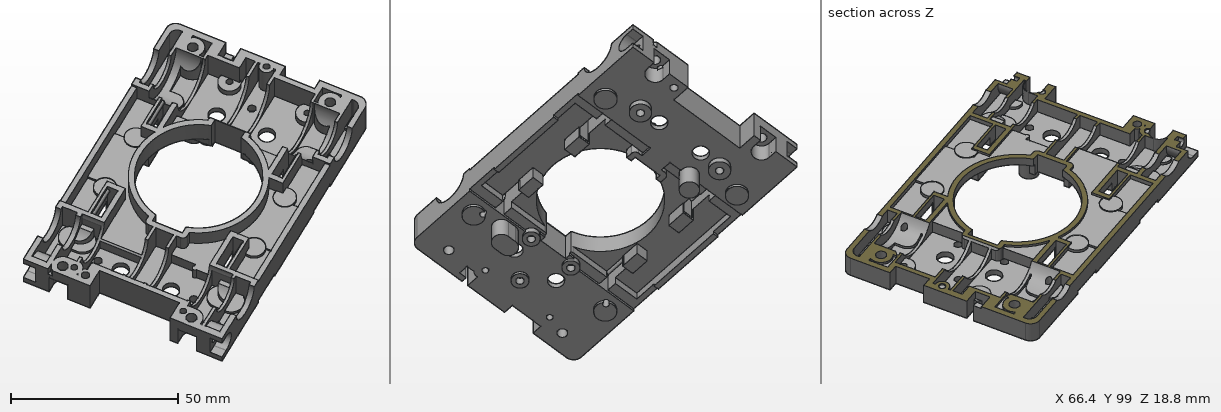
import cadquery as cq


WIDTH = 66.4
LENGTH = 99.0
HALF_WIDTH = WIDTH / 2
BACK_Y = 50.55
FRONT_Y = BACK_Y - LENGTH
TOP_Z = 11.3
LEG_LENGTH = 7.5
CORNER_RADIUS = 3.1
WALL = 1.8
SIDE_RIM_DROP = 0.7
SIDE_RIM_Z = TOP_Z - SIDE_RIM_DROP
DEEP_FLOOR_Z = 2.0
HIGH_FLOOR_Z = 6.0
PAD_TOP_Z = 2.9
PLATE_BOTTOM_Z = 4.0
INNER_HALF = HALF_WIDTH - WALL

SHAFT_Y = 32.85
SHAFT_RADIUS = 6.0
BACK_CLEARANCE_RADIUS = 9.3
FRONT_CLEARANCE_RADIUS = 7.3

BORE_Y = 2.45
BORE_RADIUS = 19.2
RING_WALL = 1.85
KEY_HALF_WIDTH = 5.0
KEY_REACH = 20.95
TAB_CORNER_RADIUS = 1.5

MID_END_Y = 24.1
CROSS_WALL = 1.7
BAY_HALF = 17.55
BAY_WALL = 0.95
CHAMBER_INNER_X = BAY_HALF + BAY_WALL
RIB_INNER_X = 2.95
RIB_THICKNESS = 1.0
RIB_OUTER_X = RIB_INNER_X + RIB_THICKNESS
BACK_BAY_START_Y = 23.15
FRONT_BAY_END_Y = -40.4
FRONT_RECESS_Y = -42.1
SIDES = (-1, 1)


def block(x0, x1, y0, y1, z0, z1):
    """Box between two corners; each pair may be given in either order."""
    size = (abs(x1 - x0), abs(y1 - y0), abs(z1 - z0))
    centre = ((x0 + x1) / 2, (y0 + y1) / 2, (z0 + z1) / 2)
    return cq.Workplane("XY").box(*size).translate(centre)


def post(x, y, radius, z0, z1):
    """Vertical cylinder."""
    return cq.Workplane("XY").workplane(offset=z0).center(x, y).circle(radius).extrude(z1 - z0)


def bar(x0, x1, y, z, radius):
    """Cylinder along X."""
    start = min(x0, x1)
    return cq.Workplane("YZ").workplane(offset=start).center(y, z).circle(radius).extrude(abs(x1 - x0))


def combined(shapes):
    """Several separate shapes gathered into one compound."""
    return cq.Workplane(cq.Compound.makeCompound([shape.val() for shape in shapes]))


FRONT_RECESS_LEFT_X = -10.9
FRONT_RECESS_RIGHT_X = 15.8
HOOK_NOTCH = (-14.85, -9.9, 45.4)
HOOK_LIP_X = -12.2
HOOK_LIP_Y = 48.7
WIDE_NOTCH = (5.0, 16.5, 47.1)
RELIEF_INNER_Y = 13.2
RELIEF_Z = 1.0
UNDERSIDE_HALF_Y = 20.8
LOW_FLOOR_Z = 5.3
LOW_FLOOR_INNER_X = 21.5
STEP_Y = 9.0
FLOOR_DISC = (24.9, 10.3)
FLOOR_DISC_RADIUS = 3.5
FLOOR_DISC_HEIGHT = 0.3
FLOOR_DISC_Z = HIGH_FLOOR_Z + FLOOR_DISC_HEIGHT


def blank():
    body = block(-HALF_WIDTH, HALF_WIDTH, FRONT_Y, BACK_Y, 0, TOP_Z)
    body = body.edges("|Z and >Y").fillet(CORNER_RADIUS)
    body = body.cut(block(FRONT_RECESS_LEFT_X, FRONT_RECESS_RIGHT_X, FRONT_Y, FRONT_RECESS_Y, 0, TOP_Z))
    for x0, x1, depth_y in (HOOK_NOTCH, WIDE_NOTCH):
        body = body.cut(block(x0, x1, depth_y, BACK_Y, 0, TOP_Z))
    return body.union(block(HOOK_NOTCH[0], HOOK_LIP_X, HOOK_LIP_Y, BACK_Y, 0, HIGH_FLOOR_Z))


def hollow_middle(body):
    """Raised middle floor, lowered side rims and the open underside below the floor."""
    body = body.cut(block(-INNER_HALF, INNER_HALF, -MID_END_Y, MID_END_Y, HIGH_FLOOR_Z, TOP_Z))
    body = body.cut(block(-HALF_WIDTH, HALF_WIDTH, -MID_END_Y, MID_END_Y, SIDE_RIM_Z, TOP_Z))
    body = body.cut(block(-INNER_HALF, INNER_HALF, -UNDERSIDE_HALF_Y, UNDERSIDE_HALF_Y, 0, PLATE_BOTTOM_Z))
    for end in SIDES:
        body = body.cut(block(-HALF_WIDTH, HALF_WIDTH, end * RELIEF_INNER_Y, end * MID_END_Y, 0, RELIEF_Z))
        for side in SIDES:
            body = body.cut(block(side * LOW_FLOOR_INNER_X, side * INNER_HALF, end * STEP_Y, end * MID_END_Y,
                                  LOW_FLOOR_Z, HIGH_FLOOR_Z))
            x, y = side * FLOOR_DISC[0], end * FLOOR_DISC[1]
            body = body.union(post(x, y, FLOOR_DISC_RADIUS, PLATE_BOTTOM_Z, FLOOR_DISC_Z))
    return body


BACK_LEFT_STEP_X = -7.0
BACK_LEFT_WALL_Y = 43.9
BACK_RIGHT_WALL_Y = 45.35
BACK_CENTRE_WALL_Y = 48.2
FRONT_LEFT_STEP_Y = -28.4
FRONT_RIGHT_STEP_Y = -23.75
FRONT_RIGHT_JOG_X = 11.95
FRONT_RIGHT_JOG_Y = -25.4
JOG_BEAD_RADIUS = 0.8
JOG_BEAD = (12.45, -25.0)
BACK_PIN_BOSS = (0, 48.0)
BACK_PIN_BOSS_RADIUS = 2.3


def back_bays():
    start = BACK_BAY_START_Y
    bays = block(-BAY_HALF, -RIB_OUTER_X, start, BACK_LEFT_WALL_Y, DEEP_FLOOR_Z, TOP_Z)
    bays = bays.union(block(BACK_LEFT_STEP_X, -RIB_OUTER_X, start, BACK_CENTRE_WALL_Y, DEEP_FLOOR_Z, TOP_Z))
    bays = bays.union(block(RIB_OUTER_X, BAY_HALF, start, BACK_RIGHT_WALL_Y, DEEP_FLOOR_Z, TOP_Z))
    bays = bays.union(block(-RIB_INNER_X, RIB_INNER_X, start, BACK_CENTRE_WALL_Y, DEEP_FLOOR_Z, TOP_Z))
    return bays.cut(post(*BACK_PIN_BOSS, BACK_PIN_BOSS_RADIUS, 0, TOP_Z))


def front_bays():
    end = FRONT_BAY_END_Y
    bays = block(-BAY_HALF, -RIB_OUTER_X, end, FRONT_LEFT_STEP_Y, DEEP_FLOOR_Z, TOP_Z)
    bays = bays.union(block(-BAY_HALF, -RIB_OUTER_X, end, -MID_END_Y, HIGH_FLOOR_Z, TOP_Z))
    bays = bays.union(block(RIB_OUTER_X, BAY_HALF, end, FRONT_RIGHT_JOG_Y, DEEP_FLOOR_Z, TOP_Z))
    bays = bays.union(block(RIB_OUTER_X, FRONT_RIGHT_JOG_X, end, FRONT_RIGHT_STEP_Y, DEEP_FLOOR_Z, TOP_Z))
    bays = bays.cut(post(*JOG_BEAD, JOG_BEAD_RADIUS, 0, HIGH_FLOOR_Z))
    bays = bays.union(block(RIB_OUTER_X, BAY_HALF, end, -MID_END_Y, HIGH_FLOOR_Z, TOP_Z))
    return bays.union(block(-RIB_INNER_X, RIB_INNER_X, end, BORE_Y - KEY_REACH, DEEP_FLOOR_Z, TOP_Z))


BOX_OUTER_X = 23.7
BOX_INNER_Y = 11.35
SLOT_INNER_X = 19.25
SLOT_WALL_X = 22.75
SLOT_INNER_Y = 13.1
SLOT_BEAD_Z = 9.3
SLOT_BEAD_RADIUS = 0.85


def bore_ring():
    half = KEY_HALF_WIDTH + RING_WALL
    reach = KEY_REACH + RING_WALL
    tab = block(-half, half, BORE_Y - reach, BORE_Y + reach, 0, TOP_Z).edges("|Z").fillet(TAB_CORNER_RADIUS)
    tab = tab.cut(block(-half, half, BORE_Y - BORE_RADIUS, BORE_Y + BORE_RADIUS, 0, PLATE_BOTTOM_Z))
    tab = tab.cut(post(0, BORE_Y, BORE_RADIUS, 0, TOP_Z))
    return tab.union(post(0, BORE_Y, BORE_RADIUS + RING_WALL, PLATE_BOTTOM_Z, TOP_Z))


def bore_opening():
    half, reach = KEY_HALF_WIDTH, KEY_REACH
    keys = block(-half, half, BORE_Y - reach, BORE_Y + reach, 0, TOP_Z)
    return keys.union(post(0, BORE_Y, BORE_RADIUS, 0, TOP_Z))


def add_front_ribs(body):
    start = BORE_Y - KEY_REACH - RING_WALL / 2
    body = body.union(block(-RIB_OUTER_X, RIB_OUTER_X, start, -MID_END_Y, 0, DEEP_FLOOR_Z))
    for side in SIDES:
        inner, outer = side * RIB_INNER_X, side * RIB_OUTER_X
        body = body.union(block(inner, outer, start, -MID_END_Y, 0, TOP_Z))
    return body


def slot_boxes():
    boxes = []
    for side in SIDES:
        inner, outer = side * BAY_HALF, side * BOX_OUTER_X
        for end in SIDES:
            near, far = end * BOX_INNER_Y, end * MID_END_Y
            boxes.append(block(inner, outer, near, far, PLATE_BOTTOM_Z, TOP_Z))
    return combined(boxes)


def cut_slots(body):
    """Through slots, each with a half-round bead along its outer wall."""
    length = MID_END_Y - SLOT_INNER_Y
    slots = []
    for side in SIDES:
        inner, wall = side * SLOT_INNER_X, side * SLOT_WALL_X
        for end in SIDES:
            slot = block(inner, wall, end * SLOT_INNER_Y, end * MID_END_Y, 0, TOP_Z)
            bead = cq.Workplane("XY").circle(SLOT_BEAD_RADIUS).extrude(length, both=True)
            bead = bead.rotate((0, 0, 0), (1, 0, 0), 90).translate((wall, end * MID_END_Y, SLOT_BEAD_Z))
            slots.append(slot.cut(bead))
    return body.cut(combined(slots))


BACK_SCREW = (22.95, 44.6)
BACK_POST_RADIUS = 3.6
BACK_LOWER_POST_RADIUS = 4.7
BACK_CHAMBER_OUTER_X = 27.3
BACK_POCKET_X = 24.85
BACK_PIN = (24.85, 27.3)
BACK_LEDGE_INNER_X = 19.0
BACK_LEDGE_Y = 33.1
BACK_LEDGE_CORNER = 3.2
BACK_PADS = ((26.6, 29.5, 4.0), (28.8, 45.95, 2.5))
BACK_SLOT_INNER_X = 28.3
BACK_SLOT_END_Y = 48.45
BACK_POCKET_FLOOR_Z = 1.2
BACK_SLOT_CORNER = 2.5


def back_slot(side):
    """Open pocket behind the outer wall, with round pads on its floor."""
    slot = block(side * BACK_SLOT_INNER_X, side * INNER_HALF, MID_END_Y + CROSS_WALL, BACK_SLOT_END_Y,
                 DEEP_FLOOR_Z, TOP_Z)
    outer_edge = ">Y and >X" if side > 0 else ">Y and <X"
    slot = slot.edges("|Z").edges(outer_edge).fillet(BACK_SLOT_CORNER)
    for x, y, radius in BACK_PADS:
        slot = slot.cut(post(side * x, y, radius, 0, PAD_TOP_Z))
    return slot


def cut_back_chambers(body):
    for side in SIDES:
        inner, pocket_x = side * CHAMBER_INNER_X, side * BACK_POCKET_X
        screw_x, screw_y = side * BACK_SCREW[0], BACK_SCREW[1]
        bed_end = SHAFT_Y + BACK_CLEARANCE_RADIUS
        pocket = block(inner, pocket_x, BACK_PIN[1], bed_end, BACK_POCKET_FLOOR_Z, TOP_Z)
        pocket = pocket.cut(post(screw_x, screw_y, BACK_LOWER_POST_RADIUS, 0, TOP_Z))
        ledge = block(side * BACK_LEDGE_INNER_X, side * HALF_WIDTH, MID_END_Y, BACK_LEDGE_Y, 0, TOP_Z)
        pocket = pocket.cut(ledge.edges("|Z and >Y").fillet(BACK_LEDGE_CORNER))
        relief = block(inner, pocket_x, screw_y - BACK_POST_RADIUS / 2, BACK_SLOT_END_Y, HIGH_FLOOR_Z, TOP_Z)
        relief = relief.cut(post(screw_x, screw_y, BACK_POST_RADIUS, 0, TOP_Z))
        bed = bar(inner, side * BACK_CHAMBER_OUTER_X, SHAFT_Y, TOP_Z, BACK_CLEARANCE_RADIUS)
        body = body.cut(pocket).cut(bed).cut(relief).cut(back_slot(side))
    return body


FRONT_SCREW = (21.5, -45.5)
FRONT_POST_RADIUS = 3.5
LEFT_CHAMBER_OUTER_X = 24.9
RIGHT_CHAMBER_OUTER_X = 25.5
CORNER_GROOVE_Z = 8.7
FRONT_EXTRA_SCREW = (-13.9, -45.5)
FRONT_EXTRA_POST_RADIUS = 2.3
FRONT_PIN = (18.2, -44.4)
FRONT_PIN_POST_RADIUS = 2.6
CORNER_POCKET_RIGHT_X = -14.3
FRONT_SLOT_INNER_X = 26.5
FRONT_POCKET_END_Y = -46.3
FRONT_BUTTRESS_RADIUS = 4.1
FRONT_BUTTRESS_Z = 6.5
FRONT_BUTTRESS_Y = -26.6
FRONT_PAD = (26.6, -29.1)
FRONT_PAD_INNER_X = 23.1
FRONT_PAD_RADIUS = 4.1
SMALL_PAD = (25.7, -40.2)
SMALL_PAD_RADIUS = 2.8
SMALL_PAD_FRONT_Y = -41.1
HINGE_Y = -45.7
HINGE_Z = 5.6
HINGE_RADIUS = 3.5
HINGE_SHELL = 1.3
HINGE_DEPTH = 4.0
HINGE_PIN_RADIUS = 1.3
HINGE_PIN_DEPTH = 2.0
SCREW_HEAD_RADIUS = 3.1
SCREW_HEAD_DEPTH = 7.05


def front_pads(side):
    """Raised floor pads: a long one above the round foot and a small one with a flat front."""
    outer_x, inner_x = side * FRONT_PAD[0], side * FRONT_PAD_INNER_X
    y = FRONT_PAD[1]
    pads = block(inner_x, outer_x, y - FRONT_PAD_RADIUS, y + FRONT_PAD_RADIUS, 0, PAD_TOP_Z)
    for x in (inner_x, outer_x):
        pads = pads.union(post(x, y, FRONT_PAD_RADIUS, 0, PAD_TOP_Z))
    small = post(side * SMALL_PAD[0], SMALL_PAD[1], SMALL_PAD_RADIUS, 0, PAD_TOP_Z)
    return pads.union(small.cut(block(0, side * HALF_WIDTH, FRONT_Y, SMALL_PAD_FRONT_Y, 0, TOP_Z)))


def cut_front_chambers(body):
    start = -MID_END_Y - CROSS_WALL
    screw_y = FRONT_SCREW[1]
    for side, outer in ((-1, LEFT_CHAMBER_OUTER_X), (1, RIGHT_CHAMBER_OUTER_X)):
        inner_x, outer_x, screw_x = side * CHAMBER_INNER_X, side * outer, side * FRONT_SCREW[0]
        chamber = block(inner_x, outer_x, start, FRONT_POCKET_END_Y, DEEP_FLOOR_Z, TOP_Z)
        slot = block(side * FRONT_SLOT_INNER_X, side * INNER_HALF, start, FRONT_POCKET_END_Y,
                     DEEP_FLOOR_Z, TOP_Z)
        pads = front_pads(side)
        chamber = chamber.cut(post(screw_x, screw_y, FRONT_POST_RADIUS, 0, TOP_Z))
        chamber = chamber.cut(block(inner_x, screw_x, screw_y + FRONT_POST_RADIUS, FRONT_Y, 0, TOP_Z))
        buttress = post(outer_x, FRONT_BUTTRESS_Y, FRONT_BUTTRESS_RADIUS, 0, FRONT_BUTTRESS_Z)
        chamber = chamber.cut(buttress)
        hump = bar(side * FRONT_SLOT_INNER_X, side * INNER_HALF, HINGE_Y, HINGE_Z, HINGE_RADIUS + HINGE_SHELL)
        body = body.cut(chamber.cut(pads)).cut(slot.cut(pads).cut(hump))
        body = body.cut(bar(inner_x, outer_x, -SHAFT_Y, TOP_Z, FRONT_CLEARANCE_RADIUS))
    return body


def cut_left_corner(body):
    """Groove around the front left screw post and the pocket beside it."""
    screw_x, screw_y = -FRONT_SCREW[0], FRONT_SCREW[1]
    groove = block(-LEFT_CHAMBER_OUTER_X, screw_x, FRONT_Y, screw_y + FRONT_POST_RADIUS, CORNER_GROOVE_Z, TOP_Z)
    body = body.cut(groove.cut(post(screw_x, screw_y, FRONT_POST_RADIUS, 0, TOP_Z)))
    pocket = block(-BAY_HALF, CORNER_POCKET_RIGHT_X, FRONT_POCKET_END_Y, FRONT_BAY_END_Y, DEEP_FLOOR_Z, TOP_Z)
    pocket = pocket.cut(post(-FRONT_PIN[0], FRONT_PIN[1], FRONT_PIN_POST_RADIUS, 0, TOP_Z))
    return body.cut(pocket.cut(post(*FRONT_EXTRA_SCREW, FRONT_EXTRA_POST_RADIUS, 0, TOP_Z)))


def cut_hinges(body):
    """D-shaped hinge notches in the front corners, each with a blind pin hole."""
    for side in SIDES:
        face = side * HALF_WIDTH
        end = side * (HALF_WIDTH - HINGE_DEPTH)
        body = body.cut(bar(face, end, HINGE_Y, HINGE_Z, HINGE_RADIUS))
        body = body.cut(block(face, end, FRONT_Y, HINGE_Y, HINGE_Z - HINGE_RADIUS, HINGE_Z + HINGE_RADIUS))
        pin_end = side * (HALF_WIDTH - HINGE_DEPTH - HINGE_PIN_DEPTH)
        body = body.cut(bar(end, pin_end, HINGE_Y, HINGE_Z, HINGE_PIN_RADIUS))
    return body


def cut_screw_heads(body):
    for side in SIDES:
        x, y = side * FRONT_SCREW[0], FRONT_SCREW[1]
        body = body.cut(post(x, y, SCREW_HEAD_RADIUS, 0, SCREW_HEAD_DEPTH))
        body = body.cut(block(x - SCREW_HEAD_RADIUS, x + SCREW_HEAD_RADIUS, FRONT_Y, y, 0, SCREW_HEAD_DEPTH))
    return body


def cut_shafts(body):
    reach = CHAMBER_INNER_X
    body = body.cut(bar(-reach, reach, SHAFT_Y, TOP_Z, BACK_CLEARANCE_RADIUS))
    body = body.cut(bar(-reach, reach, -SHAFT_Y, TOP_Z, FRONT_CLEARANCE_RADIUS))
    for end in SIDES:
        for side in SIDES:
            body = body.cut(bar(side * CHAMBER_INNER_X, side * HALF_WIDTH, end * SHAFT_Y, TOP_Z, SHAFT_RADIUS))
    return body


LEG_RADIUS = 3.05
FRONT_LEG = (11.4, -24.55)
BACK_LEG_Y = 27.75
BACK_LEG_XS = (-17.0, -14.2)
FOOT_DROP = 1.0
ROUND_FOOT_RADIUS = 3.5
ROUND_FOOT_X = 26.6
ROUND_FOOT_YS = (29.55, -29.0)
BLOCK_FOOT_X = (19.0, 23.1)
BLOCK_FOOT_Y = (7.05, 13.45)
PAD_RADIUS = 2.7
KEY_SCREWS = ((-8.0, 24.4), (8.0, 24.4), (0, 38.2))
FRONT_BAY_SCREWS = ((-16.0, -32.9), (16.0, -32.9))
FRONT_BOSS_RADIUS = 3.35
FRONT_BOSS_DROP = 2.0
BACK_BOSSES = ((-9.8, 42.8), (16.2, 42.8))
BACK_BOSS_RADIUS = 3.5
BACK_BOSS_TOP_Z = 4.0
CABLE_HOLE_X = 8.4
CABLE_HOLE_RADIUS = 2.6
CABLE_HOLE_YS = (31.4, -32.9)
SCREW_RADIUS = 1.25
CORNER_SCREW_RADIUS = 1.6
SMALL_SCREW_RADIUS = 1.0
LOCATING_HOLES = ((-FRONT_PIN[0], FRONT_PIN[1]), FRONT_PIN, BACK_PIN_BOSS)
LOCATING_DEPTH = 5.0


def back_leg():
    """Leg with an elongated, round-ended section."""
    y = BACK_LEG_Y
    leg = block(*BACK_LEG_XS, y - LEG_RADIUS, y + LEG_RADIUS, -LEG_LENGTH, DEEP_FLOOR_Z)
    for x in BACK_LEG_XS:
        leg = leg.union(post(x, y, LEG_RADIUS, -LEG_LENGTH, DEEP_FLOOR_Z))
    return leg


def add_supports(body):
    supports = [back_leg(), post(*FRONT_LEG, LEG_RADIUS, -LEG_LENGTH, DEEP_FLOOR_Z)]
    supports += [post(x, y, PAD_RADIUS, -FOOT_DROP, DEEP_FLOOR_Z) for x, y in KEY_SCREWS]
    supports += [post(x, y, FRONT_BOSS_RADIUS, -FRONT_BOSS_DROP, DEEP_FLOOR_Z) for x, y in FRONT_BAY_SCREWS]
    bay = block(-BAY_HALF, BAY_HALF, 0, BACK_Y, 0, TOP_Z)
    for x, y in BACK_BOSSES:
        supports.append(post(x, y, BACK_BOSS_RADIUS, 0, BACK_BOSS_TOP_Z).intersect(bay))
    for side in SIDES:
        for y in ROUND_FOOT_YS:
            supports.append(post(side * ROUND_FOOT_X, y, ROUND_FOOT_RADIUS, -FOOT_DROP, DEEP_FLOOR_Z))
        x0, x1 = (side * x for x in BLOCK_FOOT_X)
        for end in SIDES:
            y0, y1 = (end * y for y in BLOCK_FOOT_Y)
            supports.append(block(x0, x1, y0, y1, -FOOT_DROP, LOW_FLOOR_Z))
    for support in supports:
        body = body.union(support)
    return body


def drill(body):
    through = [(x, y, SCREW_RADIUS) for x, y in KEY_SCREWS + FRONT_BAY_SCREWS + (FRONT_EXTRA_SCREW,)]
    through += [(x, y, SMALL_SCREW_RADIUS) for x, y in BACK_BOSSES]
    for side in SIDES:
        through += [(side * CABLE_HOLE_X, y, CABLE_HOLE_RADIUS) for y in CABLE_HOLE_YS]
        through += [(side * x, y, CORNER_SCREW_RADIUS) for x, y in (BACK_SCREW, FRONT_SCREW)]
        through.append((side * BACK_PIN[0], BACK_PIN[1], SMALL_SCREW_RADIUS))
    holes = [post(x, y, radius, -LEG_LENGTH, TOP_Z) for x, y, radius in through]
    holes += [post(x, y, SMALL_SCREW_RADIUS, TOP_Z - LOCATING_DEPTH, TOP_Z) for x, y in LOCATING_HOLES]
    return body.cut(combined(holes))


body = hollow_middle(blank())
body = body.union(slot_boxes()).union(bore_ring())
body = add_front_ribs(body)
body = body.cut(back_bays().union(front_bays()).cut(bore_ring()))
body = cut_back_chambers(body)
body = cut_front_chambers(body)
body = cut_left_corner(body)
body = cut_shafts(body)
body = cut_hinges(body)
body = cut_screw_heads(body)
body = add_supports(body)
body = body.cut(bore_opening())
body = cut_slots(body)
result = drill(body)